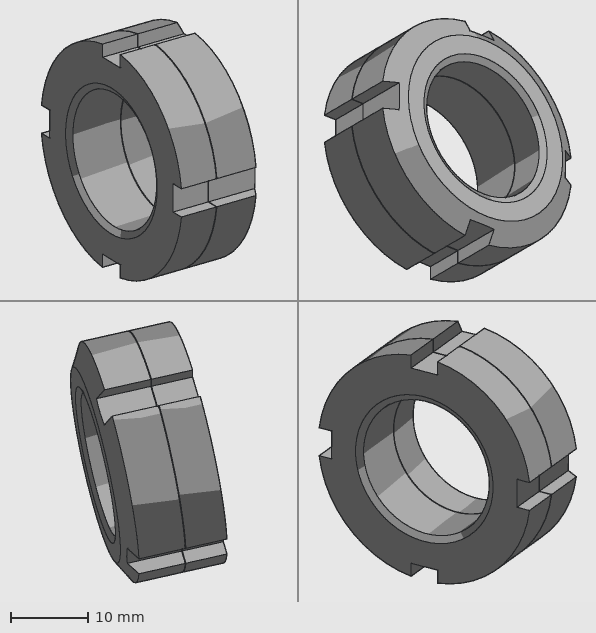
import cadquery as cq
import math

OUTER_DIAMETER = 32.0
BORE_DIAMETER = 18.95
TOTAL_LENGTH = 13.5

FRONT_RING_LENGTH = 5.5
SPIGOT_LENGTH = 2.5
SPIGOT_DIAMETER = 24.0
JOINT_GAP = 0.1

BEVEL_ANGLE = 30.0
BEVEL_SLOPE = math.tan(math.radians(BEVEL_ANGLE))
BORE_MOUTH_DIAMETER = 20.75
BACK_FACE_DIAMETER = 26.0
BORE_BEVEL_LENGTH = (BORE_MOUTH_DIAMETER - BORE_DIAMETER) / 2 * BEVEL_SLOPE
SHOULDER_LENGTH = (OUTER_DIAMETER - BACK_FACE_DIAMETER) / 2 * BEVEL_SLOPE

SLOT_COUNT = 4
SLOT_WIDTH = 4.0
SLOT_FLOOR_DIAMETER = 28.0
SLOT_CUT_DEPTH = OUTER_DIAMETER - SLOT_FLOOR_DIAMETER

FRONT_Y = -TOTAL_LENGTH / 2
BACK_Y = TOTAL_LENGTH / 2
RIM_JOINT_Y = FRONT_Y + FRONT_RING_LENGTH
SPIGOT_END_Y = RIM_JOINT_Y + SPIGOT_LENGTH

OUTER_RADIUS = OUTER_DIAMETER / 2
BORE_RADIUS = BORE_DIAMETER / 2
BORE_MOUTH_RADIUS = BORE_MOUTH_DIAMETER / 2
SPIGOT_RADIUS = SPIGOT_DIAMETER / 2


def revolved_ring(profile):
    """Turn a closed (radius, y) outline around the Y axis."""
    return cq.Workplane("XY").polyline(profile).close().revolve(360, (0, 0, 0), (0, 1, 0))


def cut_spanner_slots(ring):
    """Cut the evenly spaced slots along the full length of the rim."""
    slot = cq.Workplane("XY").box(SLOT_WIDTH, TOTAL_LENGTH, SLOT_CUT_DEPTH, centered=(True, True, False))
    slot = slot.translate((0, 0, SLOT_FLOOR_DIAMETER / 2))
    for index in range(SLOT_COUNT):
        ring = ring.cut(slot.rotate((0, 0, 0), (0, 1, 0), index * 360 / SLOT_COUNT))
    return ring


def make_front_ring():
    """Slotted ring with a bevelled bore mouth and a spigot at its back."""
    profile = [
        (BORE_MOUTH_RADIUS, FRONT_Y),
        (OUTER_RADIUS, FRONT_Y),
        (OUTER_RADIUS, RIM_JOINT_Y),
        (SPIGOT_RADIUS, RIM_JOINT_Y),
        (SPIGOT_RADIUS, SPIGOT_END_Y),
        (BORE_RADIUS, SPIGOT_END_Y),
        (BORE_RADIUS, FRONT_Y + BORE_BEVEL_LENGTH),
    ]
    return cut_spanner_slots(revolved_ring(profile))


def make_back_ring():
    """Slotted ring with a spigot recess, a conical shoulder and a bevelled bore mouth."""
    profile = [
        (BORE_RADIUS, SPIGOT_END_Y + JOINT_GAP),
        (SPIGOT_RADIUS, SPIGOT_END_Y + JOINT_GAP),
        (SPIGOT_RADIUS, RIM_JOINT_Y + JOINT_GAP),
        (OUTER_RADIUS, RIM_JOINT_Y + JOINT_GAP),
        (OUTER_RADIUS, BACK_Y - SHOULDER_LENGTH),
        (BACK_FACE_DIAMETER / 2, BACK_Y),
        (BORE_MOUTH_RADIUS, BACK_Y),
        (BORE_RADIUS, BACK_Y - BORE_BEVEL_LENGTH),
    ]
    return cut_spanner_slots(revolved_ring(profile))


front_ring = make_front_ring()
back_ring = make_back_ring()

result = cq.Compound.makeCompound([front_ring.val(), back_ring.val()])